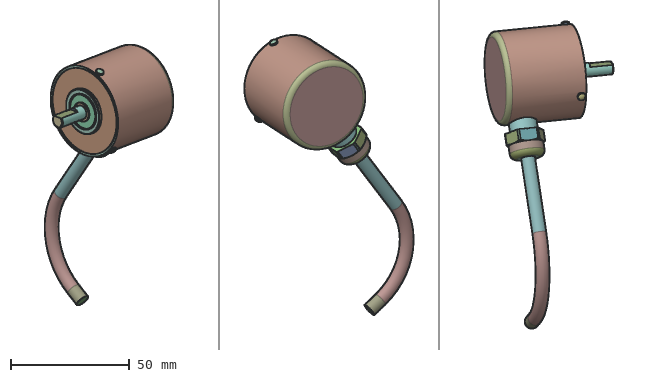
import cadquery as cq
import math


HOUSING_RADIUS = 20.0
HOUSING_LENGTH = 34.6
BACK_FILLET = 2.2
FACE_RECESS_RADIUS = 18.9
FACE_RECESS_DEPTH = 0.2

COLLAR_RADIUS = 10.0
COLLAR_HEIGHT = 1.2
COLLAR_CHAMFER = 0.3
GROOVE_OUTER_RADIUS = 7.9
GROOVE_INNER_RADIUS = 7.5
GROOVE_DEPTH = 0.4
HUB_RADIUS = 4.2
HUB_HEIGHT = 1.9

SHAFT_RADIUS = 3.0
SHAFT_LENGTH = 16.34
SHAFT_CHAMFER = 0.4
FLAT_LENGTH = 10.0
FLAT_HEIGHT = 2.0

SCREW_ANGLES = (70, 190, 315)
SCREW_RADIUS = 1.7
SCREW_ROOT = 19.0
SCREW_SHOULDER = 20.7
SCREW_TIP = 21.3
SCREW_SETBACK = 2.2

CABLE_ANGLE = 235
GLAND_Y = HOUSING_LENGTH - 9.0
NECK_RADIUS = 6.0
NUT_START = 24.2
NUT_SIDES = 6
NUT_FLATS = 15.0
NUT_CORNER_RADIUS = 8.4
NUT_END = 29.4
NUT_TAPER_LENGTH = 0.55
CAP_RADIUS = NUT_FLATS / 2
CAP_END = 35.3
CAP_FILLET = 2.6

CABLE_RADIUS = 3.0
BEND_START = 68.0
BEND_RADIUS = 30.0
BEND_SWEEP = 90
TAIL_LENGTH = 6.6


def direction(angle):
    """Unit vector in the XZ plane, at an angle in degrees from +X toward +Z."""
    return cq.Vector(math.cos(math.radians(angle)), 0, math.sin(math.radians(angle)))


def front_cylinder(radius, front, back):
    """Cylinder on the shaft axis between two Y positions."""
    plane = cq.Plane(origin=(0, back, 0), xDir=(1, 0, 0), normal=(0, -1, 0))
    return cq.Workplane(plane).circle(radius).extrude(back - front)


def radial_plane(angle, y):
    """Plane on the shaft axis whose normal points outward and whose local Y is the part's Y."""
    outward = direction(angle)
    across = cq.Vector(0, 1, 0).cross(outward)
    return cq.Plane(origin=(0, y, 0), xDir=across, normal=outward)


def make_housing():
    body = front_cylinder(HOUSING_RADIUS, 0, HOUSING_LENGTH)
    body = body.faces(">Y").edges().fillet(BACK_FILLET)
    return body.cut(front_cylinder(FACE_RECESS_RADIUS, 0, FACE_RECESS_DEPTH))


def make_collar():
    collar = front_cylinder(COLLAR_RADIUS, -COLLAR_HEIGHT, FACE_RECESS_DEPTH)
    collar = collar.faces("<Y").edges().chamfer(COLLAR_CHAMFER)
    groove_floor = GROOVE_DEPTH - COLLAR_HEIGHT
    groove = front_cylinder(GROOVE_OUTER_RADIUS, -COLLAR_HEIGHT, groove_floor)
    groove = groove.cut(front_cylinder(GROOVE_INNER_RADIUS, -COLLAR_HEIGHT, groove_floor))
    hub = front_cylinder(HUB_RADIUS, -HUB_HEIGHT, -COLLAR_HEIGHT)
    return collar.cut(groove).union(hub)


def make_shaft():
    shaft = front_cylinder(SHAFT_RADIUS, -SHAFT_LENGTH, FACE_RECESS_DEPTH)
    shaft = shaft.faces("<Y").edges().chamfer(SHAFT_CHAMFER)
    flat_cut = cq.Workplane("XY").box(
        2 * SHAFT_RADIUS, FLAT_LENGTH, SHAFT_RADIUS, centered=(True, False, False)
    )
    return shaft.cut(flat_cut.translate((0, -SHAFT_LENGTH, FLAT_HEIGHT)))


def axis_side_plane(plane):
    """Plane containing the given plane's normal, with local points as (radius, distance)."""
    return cq.Plane(origin=plane.origin, xDir=plane.xDir, normal=-plane.yDir)


def make_screw(angle):
    """Round screw end standing out of the housing wall, with a shallow spherical dome."""
    dome_height = SCREW_TIP - SCREW_SHOULDER
    dome_radius = (SCREW_RADIUS**2 + dome_height**2) / (2 * dome_height)
    half_radius = SCREW_RADIUS / 2
    half_height = SCREW_TIP - dome_radius + math.sqrt(dome_radius**2 - half_radius**2)

    plane = radial_plane(angle, SCREW_SETBACK)
    profile = (
        cq.Workplane(axis_side_plane(plane))
        .moveTo(0, SCREW_ROOT)
        .lineTo(SCREW_RADIUS, SCREW_ROOT)
        .lineTo(SCREW_RADIUS, SCREW_SHOULDER)
        .threePointArc((half_radius, half_height), (0, SCREW_TIP))
        .close()
    )
    return profile.revolve(360, (0, 0), (0, 1))


def make_nut(plane):
    """Hexagon with corners toward +Y and -Y, its corners turned round and tapered at the cap end."""
    corner_distance = NUT_FLATS / 2 / math.cos(math.pi / NUT_SIDES)
    corner_angles = [2 * math.pi * i / NUT_SIDES for i in range(NUT_SIDES)]
    corners = [(corner_distance * math.sin(a), corner_distance * math.cos(a)) for a in corner_angles]
    hexagon = cq.Workplane(plane).workplane(offset=NUT_START).polyline(corners).close()
    hexagon = hexagon.extrude(NUT_END - NUT_START)
    profile = [
        (0, NUT_START),
        (NUT_CORNER_RADIUS, NUT_START),
        (NUT_CORNER_RADIUS, NUT_END - NUT_TAPER_LENGTH),
        (CAP_RADIUS, NUT_END),
        (0, NUT_END),
    ]
    turned = cq.Workplane(axis_side_plane(plane)).polyline(profile).close()
    turned = turned.revolve(360, (0, 0), (0, 1))
    return hexagon.intersect(turned)


def make_gland():
    plane = radial_plane(CABLE_ANGLE, GLAND_Y)
    neck = cq.Workplane(plane).circle(NECK_RADIUS).extrude(NUT_START)
    cap = cq.Workplane(plane).workplane(offset=NUT_END).circle(CAP_RADIUS).extrude(CAP_END - NUT_END)
    cap = cap.faces(cq.DirectionMinMaxSelector(direction(CABLE_ANGLE))).edges().fillet(CAP_FILLET)
    return neck.union(make_nut(plane)).union(cap)


def make_cable():
    """Straight run out of the gland, one bend toward +X, then a short straight tail."""
    axis_point = cq.Vector(0, GLAND_Y, 0)
    start = axis_point + direction(CABLE_ANGLE) * CAP_END
    bend_start = axis_point + direction(CABLE_ANGLE) * BEND_START
    bend_center = bend_start + direction(CABLE_ANGLE + 90) * BEND_RADIUS
    first_spoke = CABLE_ANGLE - 90
    bend_middle = bend_center + direction(first_spoke + BEND_SWEEP / 2) * BEND_RADIUS
    bend_end = bend_center + direction(first_spoke + BEND_SWEEP) * BEND_RADIUS
    tail_end = bend_end + direction(CABLE_ANGLE + BEND_SWEEP) * TAIL_LENGTH

    path = cq.Workplane(
        cq.Wire.assembleEdges(
            [
                cq.Edge.makeLine(start, bend_start),
                cq.Edge.makeThreePointArc(bend_start, bend_middle, bend_end),
                cq.Edge.makeLine(bend_end, tail_end),
            ]
        )
    )
    section = cq.Workplane(radial_plane(CABLE_ANGLE, GLAND_Y)).workplane(offset=CAP_END)
    return section.circle(CABLE_RADIUS).sweep(path)


result = make_housing().union(make_collar()).union(make_shaft())
for screw_angle in SCREW_ANGLES:
    result = result.union(make_screw(screw_angle))
result = result.union(make_gland()).union(make_cable())